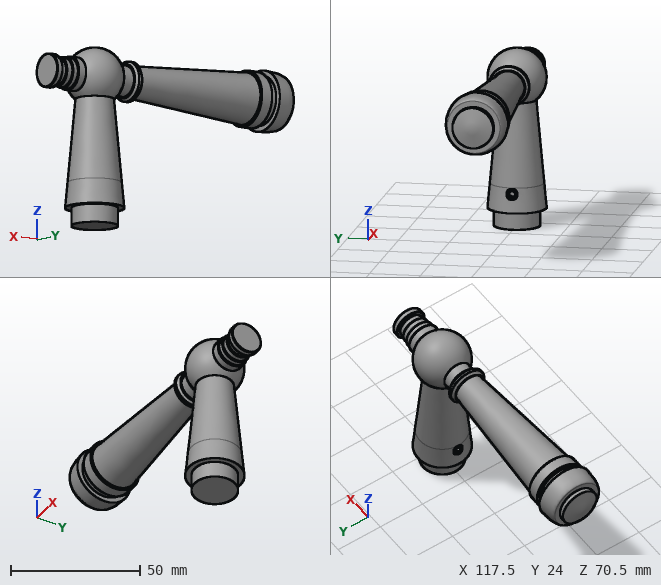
import cadquery as cq
import math


BALL_R = 11.5
POST_TOP_R = 7.5
POST_BAND_R = 10.6
POST_BASE_R = 11.5
POST_BAND_Z = -41.6
POST_BASE_Z = -51.5
SPIGOT_R = 9.0
SPIGOT_BOTTOM_Z = -58.5

TIP_X = -93.9
BUTTON_X = -92.0
BUTTON_R = 8.0
CAP_FRONT_X = -90.0
CAP_FRONT_R = 10.3
CAP_BACK_X = -81.9
CAP_BACK_R = 12.0
GROOVE_R = 9.8
COLLAR_X = -79.1
COLLAR_END_X = -73.7
COLLAR_R = 11.0
GRIP_START_R = 10.2
GRIP_END_R = 6.3
BEAD_X = -18.2
BEAD_LENGTH = 3.6
BEAD_SIDE_R = 6.7
BEAD_CREST_R = 7.9
NECK_START_R = 6.1
NECK_END_R = 5.9

STUB_STEPS = [(13.2, 6.6), (15.6, 6.1), (18.3, 5.8), (20.9, 5.3)]
DISC_END_X = 23.6
DISC_R = 6.6

EDGE_CHAMFER = 0.2

SCREW_Z = -44.1
SCREW_DIAMETER = 4.3
SCREW_LENGTH = 4.7
SCREW_CHAMFER = 0.1
SCREW_FACE_X = -10.6
SOCKET_FLATS = 2.5
SOCKET_DEPTH = 1.8


def make_grip():
    """Pointed button, rounded cap, collar, tapered grip, bead and neck, ending inside the ball."""
    cap_length = CAP_BACK_X - CAP_FRONT_X
    cap_rise = CAP_BACK_R - CAP_FRONT_R
    bead_end_x = BEAD_X + BEAD_LENGTH
    bead_slope = BEAD_CREST_R - BEAD_SIDE_R
    profile = (
        cq.Workplane("XZ")
        .moveTo(TIP_X, 0)
        .lineTo(BUTTON_X, BUTTON_R)
        .lineTo(CAP_FRONT_X, BUTTON_R)
        .lineTo(CAP_FRONT_X, CAP_FRONT_R)
        .ellipseArc(cap_length, cap_rise, 90, 180, sense=-1, startAtCurrent=True)
        .lineTo(CAP_BACK_X, GROOVE_R)
        .lineTo(COLLAR_X, GROOVE_R)
        .lineTo(COLLAR_X, COLLAR_R - EDGE_CHAMFER)
        .lineTo(COLLAR_X + EDGE_CHAMFER, COLLAR_R)
        .lineTo(COLLAR_END_X - EDGE_CHAMFER, COLLAR_R)
        .lineTo(COLLAR_END_X, COLLAR_R - EDGE_CHAMFER)
        .lineTo(COLLAR_END_X, GRIP_START_R)
        .lineTo(BEAD_X, GRIP_END_R)
        .lineTo(BEAD_X, BEAD_SIDE_R)
        .lineTo(BEAD_X + bead_slope, BEAD_CREST_R)
        .lineTo(bead_end_x - bead_slope, BEAD_CREST_R)
        .lineTo(bead_end_x, BEAD_SIDE_R)
        .lineTo(bead_end_x, NECK_START_R)
        .lineTo(-BALL_R / 2, NECK_END_R)
        .lineTo(-BALL_R / 2, 0)
        .close()
    )
    return profile.revolve(360, (0, 0, 0), (1, 0, 0))


def make_stub():
    """Steps of falling radius from inside the ball, closed by a larger end disc."""
    profile = cq.Workplane("XZ").moveTo(0, 0)
    start_x = 0
    for end_x, radius in STUB_STEPS:
        profile = (
            profile
            .lineTo(start_x, radius)
            .lineTo(end_x - EDGE_CHAMFER, radius)
            .lineTo(end_x, radius - EDGE_CHAMFER)
        )
        start_x = end_x
    profile = (
        profile
        .lineTo(start_x, DISC_R - EDGE_CHAMFER)
        .lineTo(start_x + EDGE_CHAMFER, DISC_R)
        .lineTo(DISC_END_X - EDGE_CHAMFER, DISC_R)
        .lineTo(DISC_END_X, DISC_R - EDGE_CHAMFER)
        .lineTo(DISC_END_X, 0)
        .close()
    )
    return profile.revolve(360, (0, 0, 0), (1, 0, 0))


def make_ball_and_post():
    """Ball, flared post and spigot, turned about the Z axis in one profile."""
    post_top_z = -math.sqrt(BALL_R**2 - POST_TOP_R**2)
    profile = (
        cq.Workplane("XZ")
        .moveTo(0, BALL_R)
        .threePointArc((BALL_R, 0), (POST_TOP_R, post_top_z))
        .lineTo(POST_BAND_R, POST_BAND_Z)
        .lineTo(POST_BASE_R, POST_BASE_Z)
        .lineTo(SPIGOT_R, POST_BASE_Z)
        .lineTo(SPIGOT_R, SPIGOT_BOTTOM_Z)
        .lineTo(0, SPIGOT_BOTTOM_Z)
        .close()
    )
    return profile.revolve(360, (0, 0, 0), (0, 1, 0))


def make_screw_hole():
    """Blind hole from outside the post to the inner end of the screw."""
    inner_x = SCREW_FACE_X + SCREW_LENGTH
    outside_x = -POST_BASE_R - 1.2
    return (
        cq.Workplane("YZ", origin=(outside_x, 0, SCREW_Z))
        .circle(SCREW_DIAMETER / 2)
        .extrude(inner_x - outside_x)
    )


def make_lever():
    return make_ball_and_post().union(make_grip()).union(make_stub()).cut(make_screw_hole())


def make_grub_screw():
    """Headless screw along X with a hexagon socket, two corners of it on the vertical line."""
    face = cq.Workplane("YZ", origin=(SCREW_FACE_X, 0, SCREW_Z))
    corner_to_corner = SOCKET_FLATS / math.cos(math.pi / 6)
    socket = face.transformed(rotate=(0, 0, 90)).polygon(6, corner_to_corner).extrude(SOCKET_DEPTH)
    shank = face.circle(SCREW_DIAMETER / 2).extrude(SCREW_LENGTH).faces("<X").chamfer(SCREW_CHAMFER)
    return shank.cut(socket)


lever = make_lever()
grub_screw = make_grub_screw()

result = cq.Compound.makeCompound([lever.val(), grub_screw.val()])